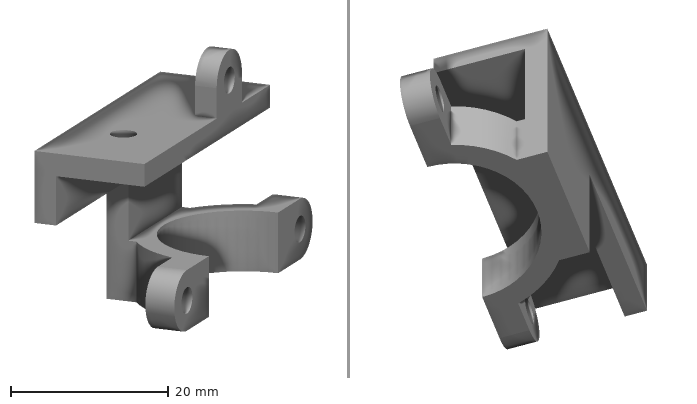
import cadquery as cq

total_length = 53.5
width = 15.25
wall = 3.0
total_height = 33.6
lug_diameter = 8.0
hole_diameter = 3.5

web_length = 17.0
rail_height = 9.5
lug_radius = lug_diameter / 2
body_height = total_height - lug_diameter

bore_radius = 11.0
clamp_radius = bore_radius + wall
ear_thickness = 4.0
ear_hole_offset = 18.0

rear_y = web_length / 2
front_y = ear_hole_offset + lug_radius - total_length
body_length = rear_y - front_y

lug_from_rear = 13.0
lug_y = rear_y - lug_from_rear
plate_hole_from_left = 7.2
plate_hole_from_front = 11.75


def box(x_min, y_min, z_min, x_size, y_size, z_size):
    """Box placed by its lowest corner."""
    return cq.Workplane("XY").box(x_size, y_size, z_size, centered=False).translate((x_min, y_min, z_min))


def disc(thickness, radius, y, z):
    """Disc along X that ends flush with the open side of the part."""
    return cq.Workplane("YZ", origin=(-thickness, y, z)).circle(radius).extrude(thickness)


def make_body():
    """Top plate with a side rail below it and a web down to the clamp."""
    plate = box(-width, front_y, body_height - wall, width, body_length, wall)
    rail = box(-width, front_y, body_height - rail_height, wall, body_length, rail_height)
    web = box(-width, -rear_y, 0, wall, web_length, body_height)
    hole = (
        cq.Workplane("XY", origin=(plate_hole_from_left - width, front_y + plate_hole_from_front, 0))
        .circle(hole_diameter / 2)
        .extrude(body_height)
    )
    return plate.union(rail).union(web).cut(hole)


def make_clamp():
    """Half ring merged into the web, with a flat ear at each end."""
    outer = cq.Workplane("XY").circle(clamp_radius).extrude(lug_diameter)
    left_half = box(-width, -clamp_radius, 0, width, 2 * clamp_radius, lug_diameter)
    filler = box(-width, -rear_y, 0, width, web_length, lug_diameter)
    clamp = outer.intersect(left_half).union(filler)
    for side in (-1, 1):
        ear_y = side * ear_hole_offset
        inner_end = min(0, ear_y)
        clamp = clamp.union(box(-ear_thickness, inner_end, 0, ear_thickness, ear_hole_offset, lug_diameter))
        clamp = clamp.union(disc(ear_thickness, lug_radius, ear_y, lug_radius))
        clamp = clamp.cut(disc(ear_thickness, hole_diameter / 2, ear_y, lug_radius))
    bore = cq.Workplane("XY").circle(bore_radius).extrude(lug_diameter)
    return clamp.cut(bore)


def make_top_lug():
    """Round-topped lug standing on the open edge of the plate."""
    hole_z = body_height + lug_radius
    base = box(-wall, lug_y - lug_radius, body_height, wall, lug_diameter, lug_radius)
    lug = base.union(disc(wall, lug_radius, lug_y, hole_z))
    return lug.cut(disc(wall, hole_diameter / 2, lug_y, hole_z))


result = make_body().union(make_clamp()).union(make_top_lug())